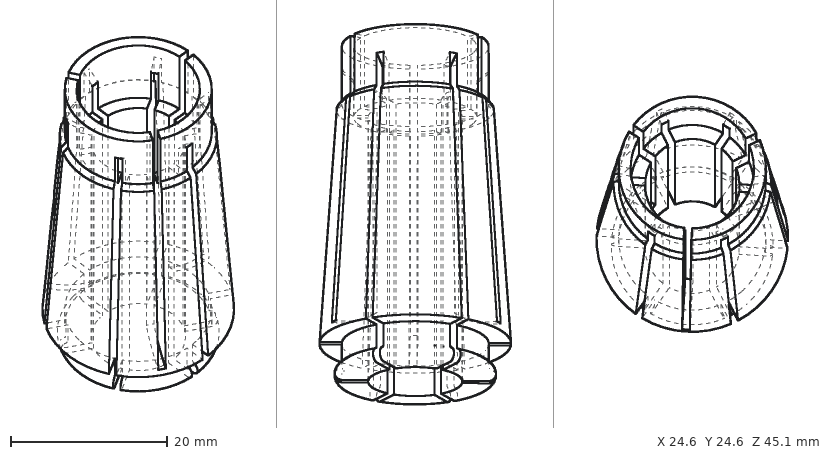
import cadquery as cq
import math

length = 45.1
shoulder_z = 5.1
cone_top_z = 36.58
collar_z = 37.35
ledge_z = 35.6

cone_base_diameter = 24.6
cone_base_radius = cone_base_diameter / 2
cone_half_angle = 4.0
neck_radius = 9.43
bore_radius = 6.05
counterbore_radius = 7.9
bead_radius = 0.95
bead_fillet = 0.45

cone_top_radius = cone_base_radius - (cone_top_z - shoulder_z) * math.tan(math.radians(cone_half_angle))

slot_width = 1.0
cutter_radius = 10.45
lower_slot_angles = [30, 90, 150, 210, 270, 330]
lower_cutter_offset = 15.55
lower_slot_top_z = 41.65
upper_slot_angles = [60, 180, 300]
upper_cutter_offset = 12.25
upper_slot_bottom_z = 6.1


def turned_body():
    """Revolve the outer outline; the bores are cut afterwards."""
    blend_distance = bead_radius + bead_fillet
    blend_angle = math.acos(bead_fillet / blend_distance)
    blend_z = bead_radius + blend_distance * math.sin(blend_angle)
    blend_start = (
        neck_radius + bead_radius * math.cos(blend_angle),
        bead_radius + bead_radius * math.sin(blend_angle),
    )
    blend_middle = (
        neck_radius + bead_fillet - bead_fillet * math.cos(blend_angle / 2),
        blend_z - bead_fillet * math.sin(blend_angle / 2),
    )
    outline = (
        cq.Workplane("XZ")
        .lineTo(neck_radius, 0)
        .threePointArc((neck_radius + bead_radius, bead_radius), blend_start)
        .threePointArc(blend_middle, (neck_radius, blend_z))
        .lineTo(neck_radius, shoulder_z)
        .lineTo(cone_base_radius, shoulder_z)
        .lineTo(cone_top_radius, cone_top_z)
        .lineTo(neck_radius, collar_z)
        .lineTo(neck_radius, length)
        .lineTo(0, length)
        .close()
    )
    return outline.revolve(360, (0, 0), (0, 1))


def cut_bores(body):
    """Through bore, opened out from the upper end down to a flat ledge."""
    bore = cq.Workplane("XY").circle(bore_radius).extrude(length)
    counterbore = (
        cq.Workplane("XY", origin=(0, 0, ledge_z))
        .circle(counterbore_radius)
        .extrude(length - ledge_z)
    )
    return body.cut(bore).cut(counterbore)


def slot_cutter(angle, cutter_offset, cutter_z, open_end_z):
    """Radial slot swept by a round cutter from an open end to its last position."""
    cutter = (
        cq.Workplane("XZ", origin=(cutter_offset, 0, cutter_z))
        .circle(cutter_radius)
        .extrude(slot_width / 2, both=True)
    )
    path = (
        cq.Workplane("XZ", origin=(cutter_offset, 0, (cutter_z + open_end_z) / 2))
        .rect(2 * cutter_radius, abs(cutter_z - open_end_z))
        .extrude(slot_width / 2, both=True)
    )
    return cutter.union(path).rotate((0, 0, 0), (0, 0, 1), angle)


result = cut_bores(turned_body())

arc_rise = math.sqrt(cutter_radius**2 - (lower_cutter_offset - neck_radius) ** 2)
lower_cutter_z = lower_slot_top_z - arc_rise
for slot_angle in lower_slot_angles:
    result = result.cut(slot_cutter(slot_angle, lower_cutter_offset, lower_cutter_z, 0))

upper_cutter_z = upper_slot_bottom_z + cutter_radius
for slot_angle in upper_slot_angles:
    result = result.cut(slot_cutter(slot_angle, upper_cutter_offset, upper_cutter_z, length))